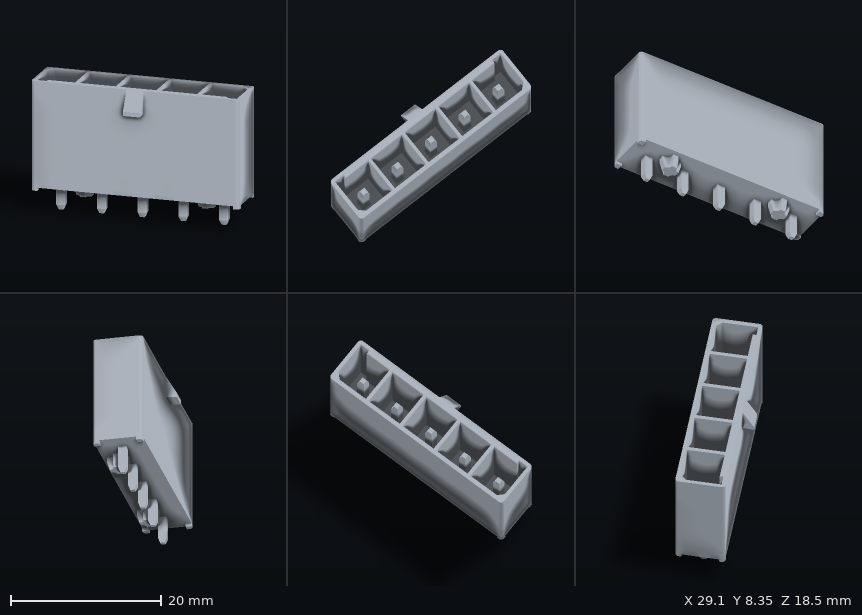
import cadquery as cq


length = 29.15
depth = 6.8
top_z = 18.5
base_z = 3.67
foot_z = 3.25
foot_size = 0.85
corner_radius = 0.5

pin_count = 5
pitch = 5.7
socket_width = 5.2
socket_back_y = 2.77
socket_front_y = -2.33
socket_floor_z = 7.0
mouth_chamfer = 0.1
end_corner_cut = 0.75
key_width = 1.37
key_depth = 0.5

pin_size = 1.15
pin_tip_size = 0.6
pin_taper = 0.7
pin_top_z = 14.58
funnel_size = 1.52
funnel_depth = 0.2

latch_width = 2.4
latch_reach = 1.55
latch_nose_top_z = 15.9
latch_nose_bottom_z = 15.27
latch_root_z = 15.45
latch_overlap = 0.3

peg_offset_in_pitches = 1.5
peg_y = 1.35
peg_span = 2.9
peg_rib = 0.8
peg_end_span = 2.15
peg_end_z = 1.85
peg_taper_z = 2.97

pin_positions = [(i - (pin_count - 1) / 2) * pitch for i in range(pin_count)]
peg_positions = [side * peg_offset_in_pitches * pitch for side in (-1, 1)]


def block(x_size, y_size, z_low, z_high):
    """Box centred on the Z axis between two heights."""
    box = cq.Workplane("XY").workplane(offset=z_low)
    return box.rect(x_size, y_size).extrude(z_high - z_low)


def frustum(low_size, high_size, z_low, z_high):
    """Square frustum centred on the Z axis."""
    base = cq.Workplane("XY").workplane(offset=z_low).rect(low_size, low_size)
    return base.workplane(offset=z_high - z_low).rect(high_size, high_size).loft(ruled=True)


def make_shell():
    """Rounded block standing on four corner feet."""
    shell = block(length, depth, foot_z, top_z).edges("|Z").fillet(corner_radius)
    shell = shell.cut(block(length - 2 * foot_size, depth, foot_z, base_z))
    return shell.cut(block(length, depth - 2 * foot_size, foot_z, base_z))


def middle_socket(x):
    """Plain rectangular socket."""
    return (
        cq.Workplane("XY")
        .workplane(offset=socket_floor_z)
        .moveTo(x, (socket_back_y + socket_front_y) / 2)
        .rect(socket_width, socket_back_y - socket_front_y)
        .extrude(top_z - socket_floor_z)
    )


def end_socket(x):
    """Socket at the -X end, with a cut back corner and a keyway at the front."""
    left = x - socket_width / 2
    right = x + socket_width / 2
    key_y = socket_front_y - key_depth
    outline = [
        (left, key_y),
        (left + key_width, key_y),
        (left + key_width, socket_front_y),
        (right, socket_front_y),
        (right, socket_back_y),
        (left + end_corner_cut, socket_back_y),
        (left, socket_back_y - end_corner_cut),
    ]
    socket = cq.Workplane("XY").workplane(offset=socket_floor_z).polyline(outline).close()
    return socket.extrude(top_z - socket_floor_z)


def cut_sockets(shell):
    """Open all sockets and bevel their mouths."""
    for x in pin_positions[1:-1]:
        shell = shell.cut(middle_socket(x))
    first = end_socket(pin_positions[0])
    shell = shell.cut(first).cut(first.mirror("YZ"))
    mouths = shell.faces(">Z").val().innerWires()
    mouth_edges = [edge for wire in mouths for edge in wire.Edges()]
    return shell.newObject(mouth_edges).chamfer(mouth_chamfer)


def make_pin():
    """Square pin with both ends tapered."""
    lower_tip = frustum(pin_tip_size, pin_size, 0, pin_taper)
    shank = block(pin_size, pin_size, pin_taper, pin_top_z - pin_taper)
    upper_tip = frustum(pin_size, pin_tip_size, pin_top_z - pin_taper, pin_top_z)
    return shank.union(lower_tip).union(upper_tip)


def make_latch():
    """Ramp that slopes out from the top rim to a short vertical nose."""
    face_y = -depth / 2
    nose_y = face_y - latch_reach
    buried_y = face_y + latch_overlap
    profile = [
        (face_y, top_z),
        (nose_y, latch_nose_top_z),
        (nose_y, latch_nose_bottom_z),
        (face_y, latch_root_z),
        (buried_y, latch_root_z),
        (buried_y, top_z),
    ]
    return cq.Workplane("YZ").polyline(profile).close().extrude(latch_width / 2, both=True)


def make_peg():
    """Cross-ribbed peg with filleted inner corners and tapered rib ends."""
    ribs = block(peg_span, peg_rib, peg_end_z, base_z)
    ribs = ribs.union(block(peg_rib, peg_span, peg_end_z, base_z))
    inner_corners = cq.selectors.BoxSelector(
        (-peg_rib, -peg_rib, peg_end_z),
        (peg_rib, peg_rib, base_z),
    )
    ribs = ribs.edges("|Z").edges(inner_corners).fillet((peg_end_span - peg_rib) / 2)
    envelope = block(peg_span, peg_span, peg_taper_z, base_z)
    envelope = envelope.union(frustum(peg_end_span, peg_span, peg_end_z, peg_taper_z))
    return ribs.intersect(envelope)


result = cut_sockets(make_shell())
result = result.union(make_latch())

funnel = frustum(pin_size, funnel_size, socket_floor_z - funnel_depth, socket_floor_z)
pin = make_pin()
for x in pin_positions:
    result = result.cut(funnel.translate((x, 0, 0)))
    result = result.union(pin.translate((x, 0, 0)))

peg = make_peg()
for x in peg_positions:
    result = result.union(peg.translate((x, peg_y, 0)))